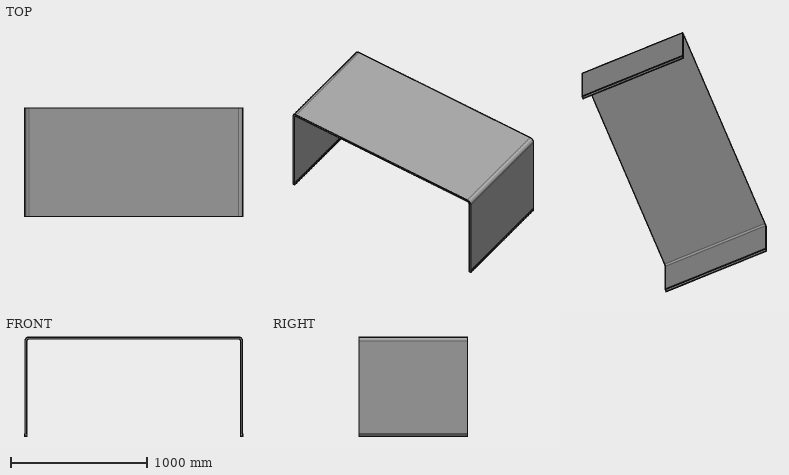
import cadquery as cq

length = 1602.0
width = 800.0
height = 730.0
sheet = 16.0
inner_radius = 15.0
foot_height = 20.0
foot_step = 0.8

bend_length = length - 2 * foot_step
outer_radius = inner_radius + sheet
foot_thickness = sheet + 2 * foot_step


def rounded_block(block_length, block_height, radius):
    """Full-width block standing on Z = 0 with its two upper long edges rounded."""
    block = cq.Workplane("XY").box(block_length, width, block_height, centered=(True, True, False))
    return block.edges("|Y and >Z").fillet(radius)


def foot(side):
    """Slightly thicker strip along the bottom of one leg; side is -1 or 1."""
    center_x = side * (length - foot_thickness) / 2
    strip = cq.Workplane("XY").box(foot_thickness, width, foot_height, centered=(True, True, False))
    return strip.translate((center_x, 0, 0))


outside = rounded_block(bend_length, height, outer_radius)
inside = rounded_block(bend_length - 2 * sheet, height - sheet, inner_radius)
result = outside.cut(inside)

for leg_side in (-1, 1):
    result = result.union(foot(leg_side))